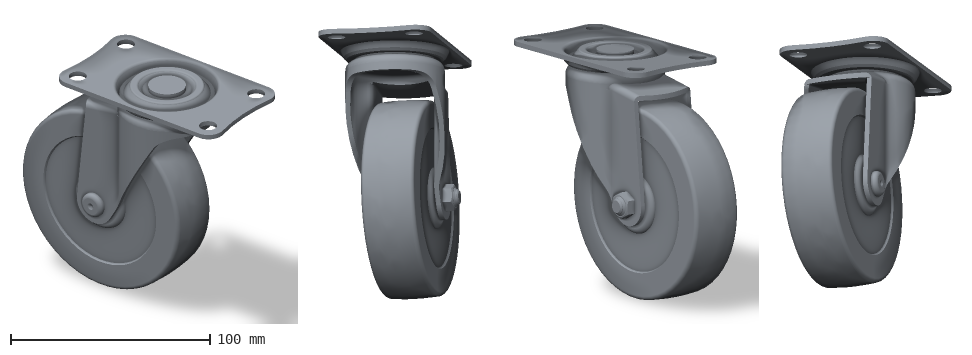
import cadquery as cq
import math


overall_height = 122.0
sheet = 2.5

plate_length = 100.0
plate_width = 58.0
corner_radius = 8.0
waist_angle = math.radians(11)
mount_hole_dia = 9.0
mount_hole_x = 41.0
mount_hole_y = 20.0

dish_rim_radius = 27.4
dish_rim_round = 1.7
dish_rim_drop = 0.9
dish_floor_outer = 24.0
dish_floor_inner = 22.0
dish_depth = 4.5
ridge_foot = 18.8
ridge_outer = 17.8
ridge_inner = 15.7
ridge_lip = 14.4
ridge_shoulder_drop = 0.7
cup_radius = 12.4
cup_depth = 2.4
dish_heel_radius = 25.8
dish_heel_height = 1.3
dish_sole_outer = 24.5
dish_sole_inner = 20.8
kingpin_radius = 9.5

crown_radius = 25.0
crown_top = 114.0
crown_round = 4.7
race_radius = crown_radius - crown_round
fork_half_width = 18.2
fork_blend = 5.2
roof_slope = math.radians(9)
roof_start_x = -19.2
roof_start_z = 110.0
roof_round = 3.2
roof_lip_radius = 41.6
skirt_bottom = 105.2
leg_end_radius = 11.0
leg_front_lean = math.radians(6)
leg_rear_lean = math.radians(30)
leg_rear_round = 14.0

wheel_radius = 50.0
wheel_x = -32.0
wheel_z = wheel_radius
tread_half_width = 13.7
tread_edge_radius = 49.4
tread_round = 2.1
rim_outer = 35.5
rim_inner = 34.8
web_half_width = 12.7
hub_base_radius = 15.5
hub_face_radius = 12.7
hub_half_width = 15.0

axle_radius = 4.0
head_radius = 6.4
head_face_radius = 4.6
head_edge_height = 1.4
head_height = 3.2
dimple_radius = 1.8
dimple_depth = 1.0
axle_tip_y = 25.5
axle_tip_chamfer = 0.8
nut_flats = 12.0
nut_height = 5.1
nut_collar_height = 1.0
nut_collar_radius = 5.0
nut_face_inset = 0.5
nut_chamfer_angle = math.radians(30)


def revolve_about_axle(profile):
    """Turn a closed (radius, y) profile around the wheel axle."""
    turned = profile.close().revolve(360, (0, 0, 0), (0, 1, 0))
    return turned.translate((wheel_x, 0, wheel_z))


def shoulder_middle(face_u, face_v, wall_u, wall_v):
    """Middle point of a rounded shoulder that leaves a flat face (along u) and turns down to a wall."""
    return (face_u + 2 * wall_u) / 3, (2 * face_v + wall_v) / 3


def plate_blank():
    half_length = plate_length / 2
    half_width = plate_width / 2
    corner_x = half_length - corner_radius
    corner_y = half_width - corner_radius
    tangent_x = corner_x + corner_radius * math.cos(waist_angle)
    tangent_y = corner_y - corner_radius * math.sin(waist_angle)
    waist_x = tangent_x - tangent_y * math.tan(waist_angle / 2)
    arc_mid = (math.pi / 2 - waist_angle) / 2
    mid_x = corner_x + corner_radius * math.cos(arc_mid)
    mid_y = corner_y + corner_radius * math.sin(arc_mid)
    half = (
        cq.Workplane("XY", origin=(0, 0, overall_height - sheet))
        .moveTo(0, -half_width)
        .lineTo(corner_x, -half_width)
        .threePointArc((mid_x, -mid_y), (tangent_x, -tangent_y))
        .threePointArc((waist_x, 0), (tangent_x, tangent_y))
        .threePointArc((mid_x, mid_y), (corner_x, half_width))
        .lineTo(0, half_width)
        .close()
        .extrude(sheet)
    )
    return half.union(half.mirror("YZ"))


def pressed_race():
    """Sheet pressed into a ring-shaped dish with a raised ridge and a central cup."""
    top = overall_height
    dish_z = top - dish_depth
    shoulder_z = top - ridge_shoulder_drop
    cup_z = top - cup_depth
    sole_z = dish_z - sheet
    rim_wall = dish_rim_radius - dish_rim_round
    rim_mid = shoulder_middle(dish_rim_radius, top, rim_wall, top - dish_rim_drop)
    outer_mid = shoulder_middle(ridge_outer, top, ridge_foot, shoulder_z)
    inner_mid = shoulder_middle(ridge_inner, top, ridge_lip, shoulder_z)
    return (
        cq.Workplane("XZ")
        .moveTo(kingpin_radius, cup_z)
        .lineTo(cup_radius, cup_z)
        .lineTo(ridge_lip, shoulder_z)
        .threePointArc(inner_mid, (ridge_inner, top))
        .lineTo(ridge_outer, top)
        .threePointArc(outer_mid, (ridge_foot, shoulder_z))
        .lineTo(dish_floor_inner, dish_z)
        .lineTo(dish_floor_outer, dish_z)
        .lineTo(rim_wall, top - dish_rim_drop)
        .threePointArc(rim_mid, (dish_rim_radius, top))
        .lineTo(dish_rim_radius, top - sheet)
        .lineTo(dish_heel_radius, sole_z + dish_heel_height)
        .lineTo(dish_sole_outer, sole_z)
        .lineTo(dish_sole_inner, sole_z)
        .lineTo(ridge_outer, top - sheet)
        .lineTo(ridge_inner, top - sheet)
        .lineTo(cup_radius, cup_z - sheet)
        .lineTo(kingpin_radius, cup_z - sheet)
        .close()
        .revolve(360, (0, 0, 0), (0, 1, 0))
    )


def make_plate():
    hole_spots = [(sx * mount_hole_x, sy * mount_hole_y) for sx in (-1, 1) for sy in (-1, 1)]
    cutters = (
        cq.Workplane("XY", origin=(0, 0, overall_height - sheet))
        .pushPoints(hole_spots)
        .circle(mount_hole_dia / 2)
        .extrude(sheet)
    )
    opening = (
        cq.Workplane("XY", origin=(0, 0, overall_height - sheet))
        .circle(dish_rim_radius)
        .extrude(sheet)
    )
    return plate_blank().cut(cutters).cut(opening).union(pressed_race())


def roof_z(x):
    return roof_start_z + (x - roof_start_x) * math.tan(roof_slope)


def fork_form(inset):
    """Solid form of the fork: round crown plus flat-sided arm, shrunk by inset."""
    half_width = fork_half_width - inset
    radius = crown_radius - inset
    arm_front = -crown_radius * 2
    roof_drop = inset / math.cos(roof_slope)
    arm = (
        cq.Workplane("XZ", origin=(0, half_width, 0))
        .moveTo(arm_front, 0)
        .lineTo(0, 0)
        .lineTo(0, roof_z(0) - roof_drop)
        .lineTo(arm_front, roof_z(arm_front) - roof_drop)
        .close()
        .extrude(2 * half_width)
        .edges("not(|X or |Y or |Z)")
        .fillet(roof_round - inset)
    )
    crown = (
        cq.Workplane("XY")
        .circle(radius)
        .extrude(crown_top - inset)
        .faces(">Z")
        .edges()
        .fillet(crown_round - inset)
    )
    blend = fork_blend + inset
    centre_y = half_width + blend
    centre_x = -math.sqrt((radius + blend) ** 2 - centre_y**2)
    touch = radius / (radius + blend)
    mid_angle = (math.atan2(-centre_y, -centre_x) - math.pi / 2) / 2
    mid = (centre_x + blend * math.cos(mid_angle), centre_y + blend * math.sin(mid_angle))
    filler = (
        cq.Workplane("XY")
        .moveTo(centre_x, half_width)
        .threePointArc(mid, (centre_x * touch, centre_y * touch))
        .lineTo(centre_x * touch, half_width - roof_round)
        .lineTo(centre_x, half_width - roof_round)
        .close()
        .extrude(roof_z(centre_x) - roof_round)
    )
    return arm.union(crown).union(filler).union(filler.mirror("XZ"))


def fork_side_profile():
    """Side outline of the fork, as a slab across its full width."""
    front_x = wheel_x - leg_end_radius * math.cos(leg_front_lean)
    front_z = wheel_z + leg_end_radius * math.sin(leg_front_lean)
    rear_x = wheel_x + leg_end_radius * math.cos(leg_rear_lean)
    rear_z = wheel_z - leg_end_radius * math.sin(leg_rear_lean)
    meet_x = rear_x + (skirt_bottom - rear_z) * math.tan(leg_rear_lean)
    trim = leg_rear_round * math.tan((math.pi / 2 - leg_rear_lean) / 2)
    line_end_x = meet_x - trim * math.sin(leg_rear_lean)
    line_end_z = skirt_bottom - trim * math.cos(leg_rear_lean)
    lean = math.tan(leg_front_lean)
    under = roof_z(front_x) - sheet / math.cos(roof_slope)
    rise = (under - front_z) / (1 - lean * math.tan(roof_slope))
    step = (front_x + rise * lean, front_z + rise)
    lip = (-roof_lip_radius, roof_z(-roof_lip_radius) - sheet / math.cos(roof_slope))
    return (
        cq.Workplane("XZ", origin=(0, crown_radius, 0))
        .moveTo(front_x, front_z)
        .threePointArc((wheel_x, wheel_z - leg_end_radius), (rear_x, rear_z))
        .lineTo(line_end_x, line_end_z)
        .tangentArcPoint((meet_x + trim, skirt_bottom), relative=False)
        .lineTo(crown_radius, skirt_bottom)
        .lineTo(crown_radius, crown_top)
        .lineTo(-roof_lip_radius, crown_top)
        .lineTo(*lip)
        .lineTo(*step)
        .close()
        .extrude(2 * crown_radius)
    )


def roof_lip_trim():
    """Material in front of the roof's rounded edge, above the tops of the legs."""
    base_z = skirt_bottom - sheet
    height = overall_height - base_z
    floor = cq.Workplane("XY", origin=(0, 0, base_z))
    block = floor.center(-roof_lip_radius, 0).rect(roof_lip_radius, 2 * crown_radius).extrude(height)
    keep = floor.circle(roof_lip_radius).extrude(height)
    return block.cut(keep)


def make_fork():
    fork = fork_form(0).cut(fork_form(sheet))
    fork = fork.intersect(fork_side_profile()).cut(roof_lip_trim())
    race_bottom = crown_top - sheet
    race_top = overall_height - dish_depth - sheet
    race = (
        cq.Workplane("XY", origin=(0, 0, race_bottom))
        .circle(race_radius)
        .extrude(race_top - race_bottom)
    )
    kingpin = (
        cq.Workplane("XY", origin=(0, 0, race_bottom))
        .circle(kingpin_radius)
        .extrude(overall_height - race_bottom)
    )
    axle_hole = (
        cq.Workplane("XZ", origin=(wheel_x, crown_radius, wheel_z))
        .circle(axle_radius)
        .extrude(2 * crown_radius)
    )
    return fork.union(race).union(kingpin).cut(axle_hole)


def make_wheel():
    round_offset = tread_round * (1 - math.sqrt(0.5))
    hub_round_r, hub_round_y = shoulder_middle(
        hub_face_radius, hub_half_width, hub_base_radius, web_half_width
    )
    tread_shoulder = tread_half_width - tread_round
    profile = (
        cq.Workplane("XY")
        .moveTo(axle_radius, -hub_half_width)
        .lineTo(hub_face_radius, -hub_half_width)
        .threePointArc((hub_round_r, -hub_round_y), (hub_base_radius, -web_half_width))
        .lineTo(rim_inner, -web_half_width)
        .lineTo(rim_outer, -tread_half_width)
        .lineTo(tread_edge_radius - tread_round, -tread_half_width)
        .threePointArc(
            (tread_edge_radius - round_offset, -tread_half_width + round_offset),
            (tread_edge_radius, -tread_shoulder),
        )
        .threePointArc((wheel_radius, 0), (tread_edge_radius, tread_shoulder))
        .threePointArc(
            (tread_edge_radius - round_offset, tread_half_width - round_offset),
            (tread_edge_radius - tread_round, tread_half_width),
        )
        .lineTo(rim_outer, tread_half_width)
        .lineTo(rim_inner, web_half_width)
        .lineTo(hub_base_radius, web_half_width)
        .threePointArc((hub_round_r, hub_round_y), (hub_face_radius, hub_half_width))
        .lineTo(axle_radius, hub_half_width)
    )
    return revolve_about_axle(profile)


def make_bolt():
    head_seat = -fork_half_width
    head_edge = head_seat - head_edge_height
    head_face = head_seat - head_height
    dome = shoulder_middle(head_face_radius, head_face, head_radius, head_edge)
    profile = (
        cq.Workplane("XY")
        .moveTo(0, head_face + dimple_depth)
        .lineTo(dimple_radius, head_face)
        .lineTo(head_face_radius, head_face)
        .threePointArc(dome, (head_radius, head_edge))
        .lineTo(head_radius, head_seat)
        .lineTo(axle_radius, head_seat)
        .lineTo(axle_radius, axle_tip_y - axle_tip_chamfer)
        .lineTo(axle_radius - axle_tip_chamfer, axle_tip_y)
        .lineTo(0, axle_tip_y)
    )
    return revolve_about_axle(profile)


def make_nut():
    seat = fork_half_width
    hex_radius = nut_flats / math.sqrt(3)
    prism = (
        cq.Workplane("XZ", origin=(wheel_x, seat, wheel_z))
        .polygon(6, 2 * hex_radius)
        .extrude(-nut_height)
        .rotate((wheel_x, 0, wheel_z), (wheel_x, 1, wheel_z), 90)
    )
    face_y = seat + nut_height
    face_radius = nut_flats / 2 - nut_face_inset
    bevel = (hex_radius - face_radius) * math.tan(nut_chamfer_angle)
    envelope = revolve_about_axle(
        cq.Workplane("XY")
        .moveTo(0, seat)
        .lineTo(hex_radius, seat)
        .lineTo(hex_radius, face_y - bevel)
        .lineTo(face_radius, face_y)
        .lineTo(0, face_y)
    )
    collar = revolve_about_axle(
        cq.Workplane("XY")
        .moveTo(0, face_y)
        .lineTo(nut_collar_radius, face_y)
        .lineTo(axle_radius, face_y + nut_collar_height)
        .lineTo(0, face_y + nut_collar_height)
    )
    bore = (
        cq.Workplane("XZ", origin=(wheel_x, seat, wheel_z))
        .circle(axle_radius)
        .extrude(-nut_height - nut_collar_height)
    )
    return prism.intersect(envelope).union(collar).cut(bore)


plate = make_plate()
fork = make_fork()
wheel = make_wheel()
bolt = make_bolt()
nut = make_nut()

bodies = [plate, fork, wheel, bolt, nut]
result = cq.Compound.makeCompound([body.solids().val() for body in bodies])